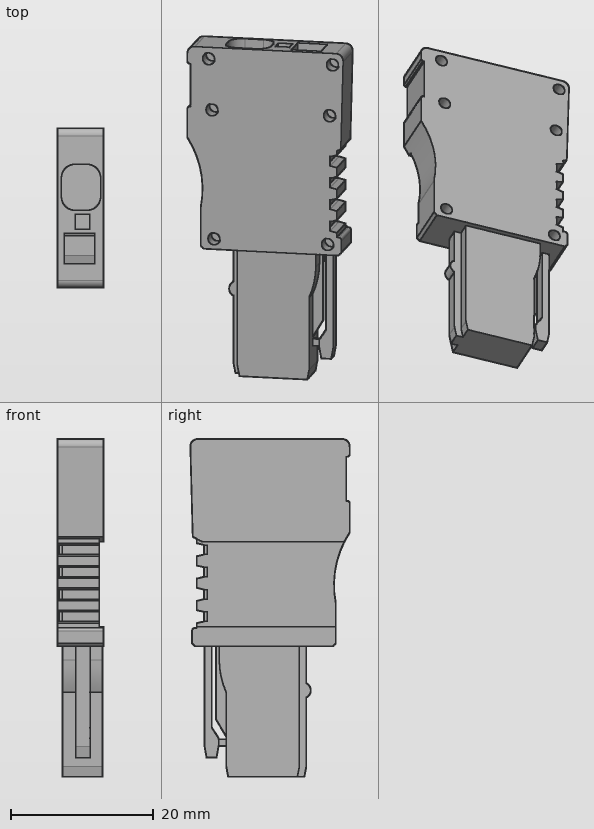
import cadquery as cq


width = 6.5
depth = 22.35
height = 47.3

housing_bottom = 18.25
housing_bottom_chamfer = 0.43
top_corner_radius = 1.05
lower_back_y = 20.4
waist_y = 20.15
waist_z = 26.4
waist_bottom_z = 24.3
waist_top_z = 34.2
back_recess_depth = 0.45
back_recess_bottom = 38.65
back_recess_top = 44.8
back_recess_chamfer = 0.25

brow_y = 0.35
brow_z = 33.6
grip_face_y = 0.9
grip_top_z = 33.3
shoulder_y = 0.25
shoulder_z = 20.85
shoulder_radius = 0.43
groove_count = 4
groove_pitch = 3.1
top_groove_z = 31.8
groove_mouth = 1.8
groove_base = 1.32
groove_base_y = 1.9
groove_deep_y = 2.35
groove_deepest_y = 2.55
groove_slope_end_x = 0.7
groove_wall_x = 0.3

relief_x = 5.85
relief_bottom = 21.0
relief_top = 32.9

pin_hole_radius = 0.85
pin_hole_depth = 2.35
pin_hole_rows = [(1.5, 19.25, 45.65), (1.95, 18.8, 38.3), (2.2, 18.5, 19.78)]

socket_x = 3.3
socket_y = 14.05
socket_width = 5.5
socket_length = 6.45
socket_corner_radius = 1.9
socket_depth = 11.85
test_x = 3.5
test_y = 9.23
test_size = 2.05
test_depth = 7.1
wire_x_min = 1.0
wire_x_max = 5.2
wire_y_min = 3.35
wire_y_max = 7.6
wire_depth = 11.85
wire_front_drop = 0.35
wire_back_rise = 0.165
wire_floor_y_min = 4.55
wire_floor_y_max = 7.3

plug_x_min = 0.7
plug_x_max = 6.35
plug_front_y = 5.0
plug_back_y = 15.3
plug_taper = 0.3
plug_taper_height = 1.5
flare_y = 4.05
flare_top_z = 16.35
flare_bottom_z = 11.87

latch_x_min = 2.55
latch_x_max = 4.6
back_rib_y = 16.27
bump_z = 12.1
bump_half_height = 1.0
bump_rise = 0.6

front_rib_x_min = 3.25
front_rib_x_max = 3.9
front_rib_y = 3.6
front_rib_slope_top = 8.05
front_rib_bottom = 5.65
peg_bottom = 4.3
peg_top = 5.3

latch_outer_y = 2.0
latch_inner_y = 3.05
latch_head_y = 3.97
latch_bend_z = 6.9
latch_head_z = 5.45
latch_taper = 0.3
latch_taper_z = 4.25
latch_bottom_z = 2.7


def slab(outline, x_min, x_max):
    """Extrude a closed YZ outline from x_min to x_max."""
    return outline.close().extrude(x_max - x_min).translate((x_min, 0, 0))


def housing_body():
    recess_y = depth - back_recess_depth
    outline = (
        cq.Workplane("YZ")
        .moveTo(shoulder_y + housing_bottom_chamfer, housing_bottom)
        .lineTo(lower_back_y - housing_bottom_chamfer, housing_bottom)
        .lineTo(lower_back_y, housing_bottom + housing_bottom_chamfer)
        .lineTo(lower_back_y, waist_bottom_z)
        .threePointArc((waist_y, waist_z), (depth, waist_top_z))
        .lineTo(depth, back_recess_bottom - back_recess_chamfer)
        .lineTo(depth - back_recess_chamfer, back_recess_bottom)
        .lineTo(recess_y, back_recess_bottom)
        .lineTo(recess_y, back_recess_top)
        .lineTo(depth - back_recess_chamfer, back_recess_top)
        .lineTo(depth, back_recess_top + back_recess_chamfer)
        .lineTo(depth, height)
        .lineTo(0, height)
        .lineTo(0, height - top_corner_radius)
        .lineTo(brow_y, brow_z)
        .lineTo(grip_face_y, grip_top_z)
        .lineTo(grip_face_y, shoulder_z)
        .lineTo(shoulder_y, shoulder_z)
        .lineTo(shoulder_y, housing_bottom + housing_bottom_chamfer)
    )
    body = slab(outline, 0, width)
    body = body.faces(">Z").edges("|X").fillet(top_corner_radius)
    shoulder_edge = cq.selectors.NearestToPointSelector((width / 2, shoulder_y, shoulder_z))
    return body.edges(shoulder_edge).fillet(shoulder_radius)


def grip_groove(z):
    """Flared groove whose floor drops deeper behind a thin wall at the -X face."""
    mouth = (
        cq.Workplane("YZ")
        .moveTo(grip_face_y, z - groove_mouth / 2)
        .lineTo(groove_base_y, z - groove_base / 2)
        .lineTo(groove_base_y, z + groove_base / 2)
        .lineTo(grip_face_y, z + groove_mouth / 2)
    )
    deep_floor = (
        cq.Workplane("XY")
        .moveTo(groove_wall_x, groove_base_y)
        .lineTo(groove_wall_x, groove_deepest_y)
        .lineTo(groove_slope_end_x, groove_deep_y)
        .lineTo(width, groove_deep_y)
        .lineTo(width, groove_base_y)
        .close()
        .extrude(groove_base)
        .translate((0, 0, z - groove_base / 2))
    )
    return slab(mouth, 0, width).union(deep_floor)


def side_relief():
    """Relief on +X over the full depth; its upper wall continues the slope under the brow."""
    slope = (brow_z - grip_top_z) / (grip_face_y - brow_y)
    slope_end_y = brow_y + (brow_z - relief_top) / slope
    outline = (
        cq.Workplane("YZ")
        .moveTo(0, relief_bottom)
        .lineTo(depth, relief_bottom)
        .lineTo(depth, relief_top)
        .lineTo(slope_end_y, relief_top)
        .lineTo(brow_y, brow_z)
        .lineTo(0, brow_z)
    )
    return slab(outline, relief_x, width)


def pin_holes():
    centers = [(y, z) for front_y, back_y, z in pin_hole_rows for y in (front_y, back_y)]
    return cq.Workplane("YZ").pushPoints(centers).circle(pin_hole_radius).extrude(pin_hole_depth)


def screw_socket():
    return (
        cq.Workplane("XY", origin=(socket_x, socket_y, height - socket_depth))
        .rect(socket_width, socket_length)
        .extrude(socket_depth)
        .edges("|Z")
        .fillet(socket_corner_radius)
    )


def test_opening():
    return (
        cq.Workplane("XY", origin=(test_x, test_y, height - test_depth))
        .rect(test_size, test_size)
        .extrude(test_depth)
    )


def wire_opening():
    """Rectangular opening whose floor drops at the front and rises at the back."""
    floor_z = height - wire_depth
    outline = (
        cq.Workplane("YZ")
        .moveTo(wire_y_min, height)
        .lineTo(wire_y_min, floor_z - wire_front_drop)
        .lineTo(wire_floor_y_min, floor_z)
        .lineTo(wire_floor_y_max, floor_z)
        .lineTo(wire_y_max, floor_z + wire_back_rise)
        .lineTo(wire_y_max, height)
    )
    return slab(outline, wire_x_min, wire_x_max)


def plug_block():
    """Plug block with a tapered tip and a curved flare under the housing."""
    flare_height = flare_top_z - flare_bottom_z
    flare_run = plug_front_y - flare_y
    flare_radius = (flare_height**2 + flare_run**2) / (2 * flare_run)
    outline = (
        cq.Workplane("YZ")
        .moveTo(plug_front_y + plug_taper, 0)
        .lineTo(plug_back_y - plug_taper, 0)
        .lineTo(plug_back_y, plug_taper_height)
        .lineTo(plug_back_y, housing_bottom)
        .lineTo(flare_y, housing_bottom)
        .lineTo(flare_y, flare_top_z)
        .radiusArc((plug_front_y, flare_bottom_z), -flare_radius)
        .lineTo(plug_front_y, plug_taper_height)
    )
    return slab(outline, plug_x_min, plug_x_max)


def back_rib():
    """Rib behind the plug block with a rounded snap bump."""
    outline = (
        cq.Workplane("YZ")
        .moveTo(plug_back_y - plug_taper, 0)
        .lineTo(back_rib_y - plug_taper, 0)
        .lineTo(back_rib_y, plug_taper_height)
        .lineTo(back_rib_y, bump_z - bump_half_height)
        .threePointArc((back_rib_y + bump_rise, bump_z), (back_rib_y, bump_z + bump_half_height))
        .lineTo(back_rib_y, housing_bottom)
        .lineTo(plug_back_y - plug_taper, housing_bottom)
    )
    return slab(outline, latch_x_min, latch_x_max)


def front_rib():
    outline = (
        cq.Workplane("YZ")
        .moveTo(plug_front_y, front_rib_bottom)
        .lineTo(front_rib_y, front_rib_slope_top)
        .lineTo(front_rib_y, housing_bottom)
        .lineTo(plug_front_y, housing_bottom)
    )
    return slab(outline, front_rib_x_min, front_rib_x_max)


def latch():
    """Latch arm hanging from the housing, with a thicker head at its tip."""
    outline = (
        cq.Workplane("YZ")
        .moveTo(latch_outer_y, housing_bottom)
        .lineTo(latch_outer_y, latch_taper_z)
        .lineTo(latch_outer_y + latch_taper, latch_bottom_z)
        .lineTo(latch_head_y - latch_taper, latch_bottom_z)
        .lineTo(latch_head_y, latch_taper_z)
        .lineTo(latch_head_y, latch_head_z)
        .lineTo(latch_inner_y, latch_bend_z)
        .lineTo(latch_inner_y, housing_bottom)
    )
    return slab(outline, latch_x_min, latch_x_max)


def peg():
    """Small block that joins the latch head to the plug block."""
    outline = (
        cq.Workplane("YZ")
        .moveTo(latch_head_y, peg_bottom)
        .lineTo(plug_front_y, peg_bottom)
        .lineTo(plug_front_y, peg_top)
        .lineTo(latch_head_y, peg_top)
    )
    return slab(outline, front_rib_x_min, front_rib_x_max)


housing = housing_body().cut(side_relief()).cut(pin_holes())
for index in range(groove_count):
    housing = housing.cut(grip_groove(top_groove_z - index * groove_pitch))
for opening in (screw_socket(), test_opening(), wire_opening()):
    housing = housing.cut(opening)

result = housing
for piece in (plug_block(), back_rib(), front_rib(), latch(), peg()):
    result = result.union(piece)